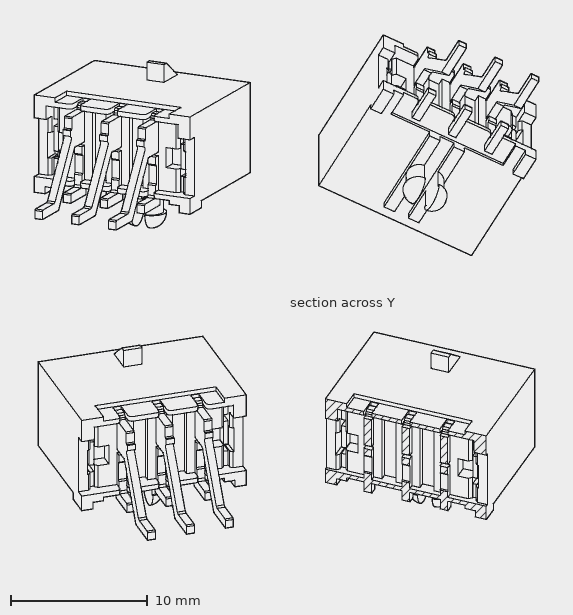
import cadquery as cq


overall_length = 15.9
width = 12.7
depth = 9.89
top_z = 7.43
bottom_z = 0.54
half_width = width / 2

bay_half_width = 5.37
bay_floor_z = 1.21
bay_ceiling_z = 6.71
bay_depth = 1.24
side_cutback = 0.73
side_cutback_top_z = 5.68
wall_chamfer = 0.2
wall_notch_depth = 0.27
wall_notch_z = (2.51, 4.47)

recess_half_width = 4.66
recess_depth = 1.92
upper_shelf_z = 7.09
lower_shelf_z = 0.83

core_half_width = 5.0
core_face_y = 0.92
core_chamfer = 0.22
groove_width = 1.1
groove_depth = 0.51
pocket_inner_x = 3.95
pocket_back_y = 1.95
pocket_z = (3.0, 4.53)
window_z_ranges = [(2.4, 2.95), (4.85, 5.4)]

foot_width = 0.89
rail_end_y = 8.92

latch_width = 1.4
latch_height = 1.35
latch_front_y = 7.09
latch_crest_y = 7.54
latch_toe_y = 9.3

peg_y = 5.31
prong_inner_x = 0.57
prong_outer_x = 1.45
prong_radius = 0.95
peg_length = 3.18
head_radius = 1.11
head_height = 1.22

pitch = 3.0
pin_width = 0.62
pin_positions = [-pitch, 0, pitch]
slot_fillet = 0.32
slot_back_y = 1.86
pin_back_y = 1.8
barb_top_z = 6.93
barb_front_y = 0.99
barb_chamfer = 0.15
blade_top_z = 6.5
blade_end = 1.18
shoulder_top_z = 5.55
shoulder_end = 1.42
shank_root_z = 4.1
tail_height = 0.72
pin_chamfer = 0.1
upper_tail_end = overall_length - depth
lower_tail_end = 1.35
leg_front_y = 0.5
leg_back_y = 1.16
leg_top_z = 3.83
leg_notch_depth = 0.11
leg_notch_z = (1.76, 3.13)
leg_bend = 0.16


def block(x_range, y_range, z_range):
    """Axis-aligned box between two limits along each axis."""
    (x0, x1), (y0, y1), (z0, z1) = x_range, y_range, z_range
    return cq.Workplane("XY").box(x1 - x0, y1 - y0, z1 - z0, centered=False).translate((x0, y0, z0))


def both_sides(shape):
    """A shape together with its mirror image across the X = 0 plane."""
    return shape.union(shape.mirror("YZ"))


def side_profile(points, thickness, x_center=0.0):
    """A Y-Z outline extruded symmetrically about x_center."""
    outline = cq.Workplane("YZ").polyline(points).close()
    return outline.extrude(thickness / 2, both=True).translate((x_center, 0, 0))


def make_shell():
    """Housing block with its front bay, side cutbacks and shallow shelf recesses."""
    shell = block((-half_width, half_width), (0, depth), (bottom_z, top_z))
    feet = block((-half_width, -half_width + foot_width), (0, recess_depth), (0, bottom_z))
    shell = shell.union(both_sides(feet))

    bay = block((-bay_half_width, bay_half_width), (0, bay_depth), (bay_floor_z, bay_ceiling_z))
    cutback = block((-half_width, -bay_half_width), (0, side_cutback), (bay_floor_z, side_cutback_top_z))
    notch = block((-bay_half_width - wall_notch_depth, -bay_half_width), (0, pocket_back_y), wall_notch_z)
    chamfer = (
        cq.Workplane("XY", origin=(0, 0, bay_floor_z))
        .moveTo(-bay_half_width, side_cutback)
        .lineTo(-bay_half_width - wall_chamfer, side_cutback)
        .lineTo(-bay_half_width, side_cutback + wall_chamfer)
        .close()
        .extrude(side_cutback_top_z - bay_floor_z)
    )
    shell = shell.cut(bay).cut(both_sides(cutback)).cut(both_sides(notch)).cut(both_sides(chamfer))

    for z_range in [(upper_shelf_z, top_z), (bottom_z, lower_shelf_z)]:
        shell = shell.cut(block((-recess_half_width, recess_half_width), (0, recess_depth), z_range))
    return shell


def make_core():
    """Chamfered block standing forward from the back of the bay."""
    core = block(
        (-core_half_width, core_half_width), (core_face_y, bay_depth), (bay_floor_z, bay_ceiling_z)
    )
    return core.faces("<Y").edges("|Z").chamfer(core_chamfer)


def make_grooves():
    """Full-height grooves in the core face, midway between neighbouring pins."""
    grooves = cq.Workplane("XY")
    for x in [-pitch / 2, pitch / 2]:
        x_range = (x - groove_width / 2, x + groove_width / 2)
        y_range = (core_face_y, core_face_y + groove_depth)
        grooves = grooves.union(block(x_range, y_range, (bay_floor_z, bay_ceiling_z)))
    return grooves


def make_pockets():
    """Rectangular pockets at both ends of the core face."""
    return both_sides(
        block((-core_half_width, -pocket_inner_x), (core_face_y, pocket_back_y), pocket_z)
    )


def make_windows():
    """Openings that run through the housing in the gaps beside the core."""
    windows = cq.Workplane("XY")
    for z_range in window_z_ranges:
        windows = windows.union(block((-bay_half_width, -core_half_width), (0, depth), z_range))
    return both_sides(windows)


def make_slot(x):
    """Vertical pin slot with rounded lead-in, cutting both shelves at the front."""
    half = pin_width / 2
    mouth = half + slot_fillet

    def slot_prism(back_y, z_range):
        return (
            cq.Workplane("XY", origin=(x, 0, z_range[0]))
            .moveTo(-mouth, 0)
            .radiusArc((-half, slot_fillet), -slot_fillet)
            .lineTo(-half, back_y)
            .lineTo(half, back_y)
            .lineTo(half, slot_fillet)
            .radiusArc((mouth, 0), -slot_fillet)
            .close()
            .extrude(z_range[1] - z_range[0])
        )

    upper = slot_prism(slot_back_y, (bay_ceiling_z, upper_shelf_z))
    lower = slot_prism(core_face_y, (lower_shelf_z, bay_floor_z))
    return upper.union(lower)


def make_rails():
    """Two rails under the housing, in line with the peg prongs."""
    return both_sides(
        block((prong_inner_x, prong_outer_x), (recess_depth, rail_end_y), (0, bottom_z))
    )


def make_latch():
    """Ramped latch tooth on the top face."""
    crest_z = top_z + latch_height
    return side_profile(
        [(latch_front_y, top_z), (latch_front_y, crest_z), (latch_crest_y, crest_z), (latch_toe_y, top_z)],
        latch_width,
    )


def make_peg():
    """Split peg: two half-round prongs with domed heads."""
    head_top_z = head_height - peg_length
    shaft = (
        cq.Workplane("XY", origin=(prong_outer_x - prong_radius, peg_y, head_top_z))
        .circle(prong_radius)
        .extrude(-head_top_z)
    )
    head = (
        cq.Workplane("XZ")
        .lineTo(head_radius, 0)
        .ellipseArc(head_radius, head_height, 270, 360, sense=-1, startAtCurrent=True)
        .close()
        .revolve(360, (0, 0), (0, 1))
        .translate((prong_inner_x, peg_y, head_top_z))
    )
    outer_side = block((prong_inner_x, half_width), (0, depth), (-peg_length, 0))
    return both_sides(shaft.union(head).intersect(outer_side))


def make_upper_pin(x):
    """Bent pin: barbed blade, sloping shank and flat solder tail."""
    blade_and_shoulder = [
        (pin_back_y, shank_root_z),
        (pin_back_y, barb_top_z - barb_chamfer),
        (pin_back_y - barb_chamfer, barb_top_z),
        (barb_front_y + barb_chamfer, barb_top_z),
        (barb_front_y, barb_top_z - barb_chamfer),
        (barb_front_y, 6.6),
        (0.86, blade_top_z),
        (-blade_end + pin_chamfer, blade_top_z),
        (-blade_end, blade_top_z - pin_chamfer),
        (-blade_end, 5.63),
        (-blade_end - pin_chamfer, shoulder_top_z),
        (-shoulder_end, shoulder_top_z),
        (-shoulder_end, 5.12),
        (-1.27, 5.0),
    ]
    shank_and_tail = [
        (-3.93, 0.81),
        (-4.13, tail_height),
        (-upper_tail_end + pin_chamfer, tail_height),
        (-upper_tail_end, tail_height - pin_chamfer),
        (-upper_tail_end, 0),
        (-3.34, 0),
        (-0.85, 3.93),
    ]
    outline = (
        cq.Workplane("YZ")
        .polyline(blade_and_shoulder)
        .threePointArc((-1.24, 4.9), (-1.29, 4.8))
        .polyline(shank_and_tail, includeCurrent=True)
        .threePointArc((-0.75, 4.04), (-0.62, shank_root_z))
        .close()
    )
    return outline.extrude(pin_width / 2, both=True).translate((x, 0, 0))


def make_lower_pin(x):
    """L-shaped pin: upright leg against the core and a short solder tail."""
    points = [
        (leg_back_y, 0),
        (leg_back_y, leg_top_z),
        (leg_front_y, leg_top_z),
        (leg_front_y, leg_notch_z[1] + leg_notch_depth),
        (leg_front_y + leg_notch_depth, leg_notch_z[1]),
        (leg_front_y + leg_notch_depth, leg_notch_z[0]),
        (leg_front_y, leg_notch_z[0] - leg_notch_depth),
        (leg_front_y, tail_height + leg_bend),
        (leg_front_y - leg_bend, tail_height),
        (-lower_tail_end + pin_chamfer, tail_height),
        (-lower_tail_end, tail_height - pin_chamfer),
        (-lower_tail_end, 0),
    ]
    return side_profile(points, pin_width, x)


def make_slot_floor(x):
    """Opening in the core that clears the pin slot down to the top of the blade."""
    x_range = (x - pin_width / 2, x + pin_width / 2)
    return block(x_range, (core_face_y, slot_back_y), (blade_top_z, bay_ceiling_z))


housing = make_shell().union(make_core())
housing = housing.cut(make_grooves()).cut(make_pockets()).cut(make_windows())
for pin_x in pin_positions:
    housing = housing.cut(make_slot(pin_x)).cut(make_slot_floor(pin_x))
housing = housing.union(make_rails()).union(make_latch()).union(make_peg())

result = housing
for pin_x in pin_positions:
    result = result.union(make_upper_pin(pin_x)).union(make_lower_pin(pin_x))